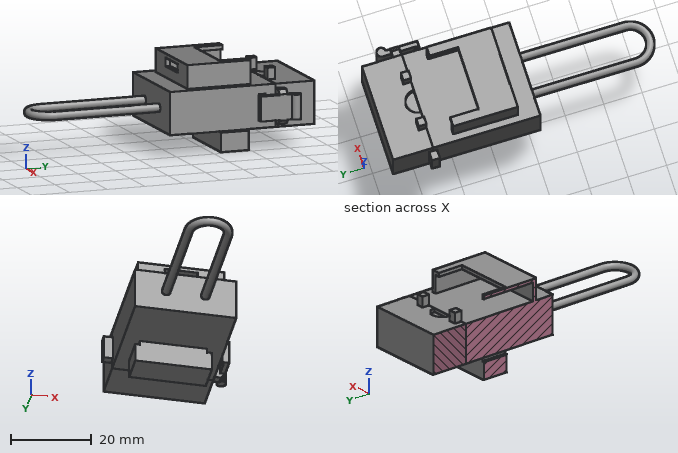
import cadquery as cq

total_length = 71.7
width = 25.6
height = 11.0
housing_length = 27.9
cap_length = 10.4
half_width = width / 2
top = height / 2

socket_width = 21.8
socket_length = 16.8
socket_height = 6.0
socket_rear = -5.8
slot_neck_width = 16.9
slot_head_width = 19.4
slot_length = 7.4
slot_lip = 1.1
front_wall = 1.15
window_width = 8.3
window_height = 2.15
window_drop = 1.1

rail_height = 6.0

post_width = 2.1
post_length = 2.0
post_height = 2.95
post_offset = 6.3
recess_radius = 3.0
recess_depth = 1.0
tab_reach = 2.3
tab_length = 2.1

clip_height = 6.3
lever_gap = 1.7
lever_outer = 3.0
knob_reach = 4.1
knob_center_y = 4.45
lever_front = -4.95
hook_rear = -4.4
hook_tip = 0.4
hook_toe = 1.3
catch_rear = -2.6
link_length = 2.15
link_height = 8.8
link_chamfer = 1.1
link_gusset = 0.6

wire_diameter = 2.15
bend_radius = 4.95
leg_length = total_length - cap_length - housing_length - bend_radius - wire_diameter / 2


def block(x_min, x_max, y_min, y_max, z_min, z_max):
    """Rectangular block between two opposite corners."""
    size = (x_max - x_min, y_max - y_min, z_max - z_min)
    return cq.Workplane("XY").box(*size, centered=False).translate((x_min, y_min, z_min))


def centered_block(block_width, y_min, y_max, z_min, z_max):
    """Rectangular block centered across the width."""
    return block(-block_width / 2, block_width / 2, y_min, y_max, z_min, z_max)


def side_prism(points, prism_height):
    """Prism centered in height; X is measured outward from the right side of the block."""
    outline = cq.Workplane("XY").polyline(points).close()
    return outline.extrude(prism_height / 2, both=True).translate((half_width, 0, 0))


def make_socket():
    socket_top = top + socket_height
    socket_front = socket_rear - socket_length
    slot_front = socket_rear - slot_length
    window_top = socket_top - window_drop
    socket = centered_block(socket_width, socket_front, socket_rear, top, socket_top)
    slot_neck = centered_block(slot_neck_width, slot_front, socket_rear, top, socket_top)
    head_front = socket_front + front_wall
    slot_head = centered_block(slot_head_width, head_front, socket_rear, top, socket_top - slot_lip)
    window = centered_block(window_width, socket_front, head_front, window_top - window_height, window_top)
    return socket.cut(slot_neck).cut(slot_head).cut(window)


def make_rail():
    rail_front = socket_rear - slot_length
    neck = centered_block(slot_neck_width, rail_front, socket_rear, -top - slot_lip, -top)
    head = centered_block(slot_head_width, rail_front, socket_rear, -top - rail_height, -top - slot_lip)
    return neck.union(head)


def make_catch():
    return side_prism([(0, catch_rear), (lever_gap, hook_rear), (0, hook_rear)], clip_height)


def make_housing():
    body = centered_block(width, -housing_length, 0, -top, top)
    return body.union(make_socket()).union(make_rail()).union(make_catch())


def make_latch():
    """Link with chamfered outer edges, gusset, and a lever with a hook and a round knob."""
    link = block(half_width, half_width + lever_outer, 0, link_length, -link_height / 2, link_height / 2)
    link = link.edges(">X and |Y").chamfer(link_chamfer)
    gusset = side_prism(
        [(0, link_length), (link_gusset, link_length), (0, link_length + link_gusset)], clip_height
    )
    lever = side_prism(
        [
            (lever_gap, knob_center_y),
            (lever_gap, hook_rear),
            (hook_tip, hook_rear),
            (hook_toe, lever_front),
            (lever_outer, lever_front),
            (lever_outer, knob_center_y),
        ],
        clip_height,
    )
    knob_radius = (knob_reach - lever_gap) / 2
    knob_x = half_width + knob_reach - knob_radius
    knob = cq.Workplane("XY").center(knob_x, knob_center_y).circle(knob_radius)
    knob = knob.extrude(clip_height / 2, both=True)
    return link.union(gusset).union(lever).union(knob)


def make_cap():
    cap = centered_block(width, 0, cap_length, -top, top)
    recess = cq.Workplane("XY", origin=(0, 0, top)).circle(recess_radius).extrude(-recess_depth)
    cap = cap.cut(recess)
    for post_x in (-post_offset, post_offset):
        post = centered_block(post_width, 0, post_length, top, top + post_height)
        cap = cap.union(post.translate((post_x, 0, 0)))
    tab = block(
        -half_width - tab_reach,
        -half_width,
        -tab_length / 2,
        tab_length / 2,
        -clip_height / 2,
        clip_height / 2,
    )
    return cap.union(tab).union(make_latch())


def make_wire_loop():
    """Round wire: two straight legs joined by a half-circle bend, butting on the housing front."""
    start_y = -housing_length
    bend_y = start_y - leg_length
    path = (
        cq.Workplane("XY")
        .moveTo(-bend_radius, start_y)
        .lineTo(-bend_radius, bend_y)
        .threePointArc((0, bend_y - bend_radius), (bend_radius, bend_y))
        .lineTo(bend_radius, start_y)
    )
    section = cq.Workplane("XZ", origin=(-bend_radius, start_y, 0)).circle(wire_diameter / 2)
    return section.sweep(path)


housing = make_housing()
cap = make_cap()
wire_loop = make_wire_loop()

result = cq.Compound.makeCompound([housing.solids().val(), cap.solids().val(), wire_loop.val()])